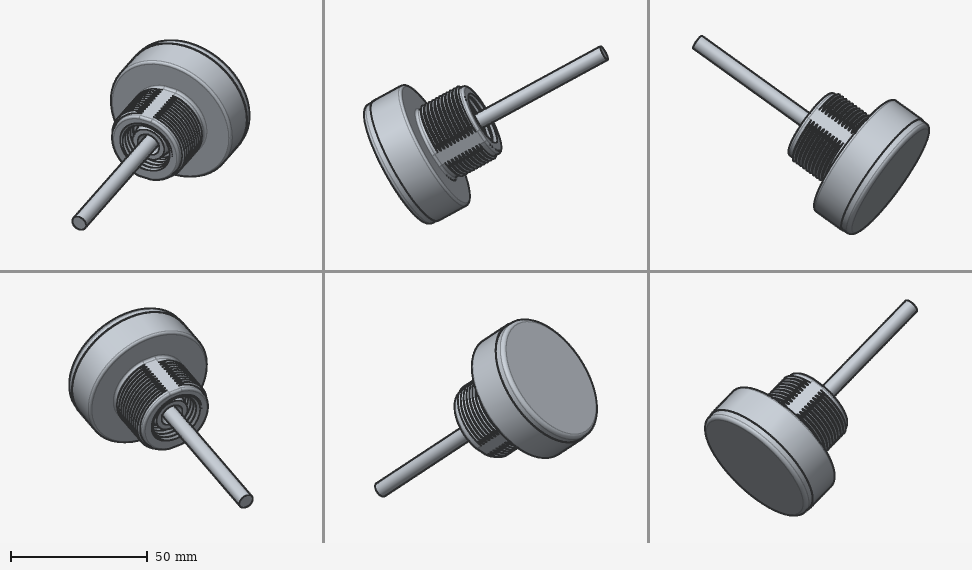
import cadquery as cq
import math


total_length = 88.4

head_diameter = 50.0
head_length = 16.5
cap_length = 3.6
cap_step = 0.3
cap_rounding = 1.5
edge_rounding = 1.0

collar_diameter = 28.0
collar_length = 20.1
flat_width = 5.0

thread_pitch = 1.5
thread_height = 0.84
thread_foot = 1.3
thread_turns = 10.5
thread_offset = 2.2
thread_overlap = 0.1

bore_diameter = 18.9
inner_pitch = 2.0
inner_depth = 1.7
inner_turns = 4
bore_depth = 9.3
inner_crest_width = 0.1

gland_diameter = 15.4
gland_face_diameter = 13.0
gland_recess = 2.8
gland_mouth_diameter = 8.8
gland_mouth_depth = 2.65

cable_diameter = 5.75

collar_radius = collar_diameter / 2
bore_radius = bore_diameter / 2
collar_end = head_length + collar_length
bore_floor = collar_end - bore_depth
gland_face = collar_end - gland_recess
flat_distance = math.sqrt(collar_radius**2 - (flat_width / 2) ** 2)


def cylinder(diameter, start, end):
    return cq.Workplane("XY").workplane(offset=start).circle(diameter / 2).extrude(end - start)


def helical_sweep(section, pitch, turns, start):
    """Sweep a closed (radius, height) section along a right-handed helix that starts at +Y."""
    path = cq.Wire.makeHelix(pitch, pitch * turns, section[0][0])
    coil = cq.Workplane("XZ").polyline(section).close().sweep(cq.Workplane(path), isFrenet=True)
    return coil.rotate((0, 0, 0), (0, 0, 1), 90).translate((0, 0, start))


def make_head():
    cap = cylinder(head_diameter - 2 * cap_step, 0, cap_length).faces("<Z").edges().fillet(cap_rounding)
    drum = cylinder(head_diameter, cap_length, head_length).faces(">Z").edges().fillet(edge_rounding)
    return cap.union(drum)


def between_flats(body):
    slab = cq.Workplane("XY").box(head_diameter, 2 * flat_distance, 2 * total_length)
    return body.intersect(slab)


def add_collar(head):
    collar = between_flats(cylinder(collar_diameter, head_length, collar_end))
    collar = collar.faces(">Z").edges().fillet(edge_rounding)
    root_reach = collar_radius + edge_rounding
    root_slack = edge_rounding / 2
    root_zone = cq.selectors.BoxSelector(
        (-root_reach, -root_reach, head_length - root_slack),
        (root_reach, root_reach, head_length + root_slack),
        boundingbox=True,
    )
    return head.union(collar).edges(root_zone).fillet(edge_rounding)


def make_outer_thread():
    half_foot = thread_foot / 2
    foot_radius = collar_radius - thread_overlap
    crest_radius = collar_radius + thread_height
    section = [(foot_radius, -half_foot), (crest_radius, 0), (foot_radius, half_foot)]
    ridge = helical_sweep(section, thread_pitch, thread_turns, head_length + thread_offset)
    return between_flats(ridge)


def make_bore():
    return cylinder(bore_diameter, bore_floor, collar_end)


def make_inner_thread_groove():
    half_mouth = (inner_pitch - inner_crest_width) / 2
    mouth_radius = bore_radius - thread_overlap
    section = [(mouth_radius, -half_mouth), (bore_radius + inner_depth, 0), (mouth_radius, half_mouth)]
    return helical_sweep(section, inner_pitch, inner_turns + 1, collar_end - inner_turns * inner_pitch)


def make_gland():
    profile = [
        (0, bore_floor),
        (gland_diameter / 2, bore_floor),
        (gland_face_diameter / 2, gland_face),
        (gland_mouth_diameter / 2, gland_face),
        (cable_diameter / 2, gland_face - gland_mouth_depth),
        (0, gland_face - gland_mouth_depth),
    ]
    return cq.Workplane("XZ").polyline(profile).close().revolve(360, (0, 0), (0, 1))


body = add_collar(make_head())
body = body.union(make_outer_thread())
body = body.cut(make_bore()).cut(make_inner_thread_groove())
body = body.union(make_gland())
body = body.union(cylinder(cable_diameter, bore_floor, total_length))

result = body.rotate((0, 0, 0), (1, 0, 0), 90)